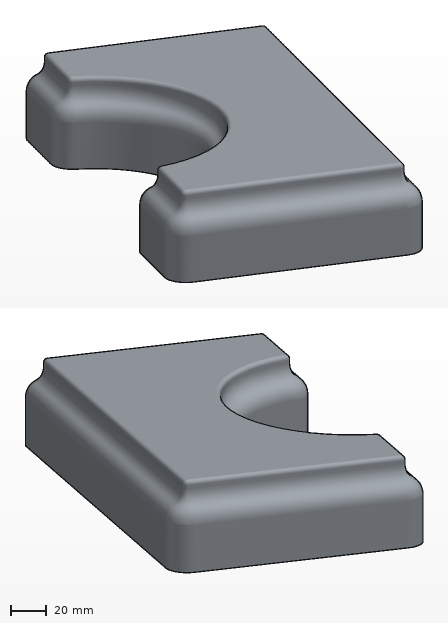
import cadquery as cq
import math

length = 254.0
width = 152.5
height = 50.8
cove_radius = 63.5

rim_width = 12.7
base_height = 28.0
ogee_angle = math.radians(60)
top_round_radius = 2.5
ogee_radius = (rim_width - top_round_radius) / (2 * (1 - math.cos(ogee_angle)))

half_length = length / 2 - rim_width
back_y = width / 2 - rim_width
front_y = -back_y
cove_center_y = -width / 2
top_cove_radius = cove_radius + rim_width
horn_x = math.sqrt(top_cove_radius**2 - (front_y - cove_center_y)**2)


def top_outline():
    """Outline of the flat top, in the base plane, starting midway along the back."""
    return (
        cq.Workplane("XY")
        .moveTo(0, back_y)
        .lineTo(-half_length, back_y)
        .lineTo(-half_length, front_y)
        .lineTo(-horn_x, front_y)
        .threePointArc((0, cove_center_y + top_cove_radius), (horn_x, front_y))
        .lineTo(half_length, front_y)
        .lineTo(half_length, back_y)
        .close()
    )


def rim_profile():
    """Rim cross-section on the back side: convex arc, concave arc, neck, rounded top."""
    arc_run = ogee_radius * (1 - math.cos(ogee_angle))
    arc_rise = ogee_radius * math.sin(ogee_angle)
    half_run = ogee_radius * (1 - math.cos(ogee_angle / 2))
    half_rise = ogee_radius * math.sin(ogee_angle / 2)
    outer_y = back_y + rim_width
    middle_y = outer_y - arc_run
    neck_y = back_y + top_round_radius
    middle_z = base_height + arc_rise
    neck_z = middle_z + arc_rise
    round_center_z = height - top_round_radius
    round_mid = top_round_radius * math.sqrt(0.5)
    return (
        cq.Workplane("YZ")
        .moveTo(back_y, 0)
        .lineTo(outer_y, 0)
        .lineTo(outer_y, base_height)
        .threePointArc((outer_y - half_run, base_height + half_rise), (middle_y, middle_z))
        .threePointArc((neck_y + half_run, neck_z - half_rise), (neck_y, neck_z))
        .lineTo(neck_y, round_center_z)
        .threePointArc(
            (back_y + round_mid, round_center_z + round_mid),
            (back_y, height),
        )
        .close()
    )


core = top_outline().extrude(height)
rim = rim_profile().sweep(top_outline(), transition="round")
result = core.union(rim).clean()